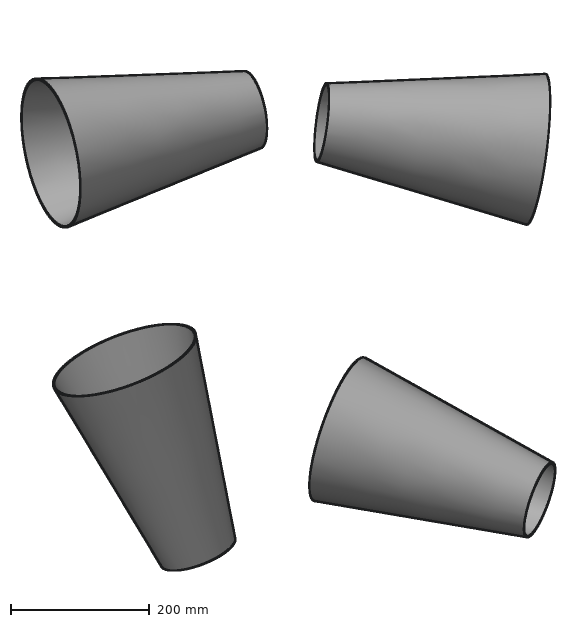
import cadquery as cq

length = 314.0
wide_diameter = 219.2
narrow_diameter = 114.3
wall = 2.0

wide_radius = wide_diameter / 2
narrow_radius = narrow_diameter / 2

wall_profile = (
    cq.Workplane("XY")
    .moveTo(wide_radius - wall, 0)
    .lineTo(wide_radius, 0)
    .lineTo(narrow_radius, length)
    .lineTo(narrow_radius - wall, length)
    .close()
)

result = wall_profile.revolve(360, (0, 0, 0), (0, 1, 0))